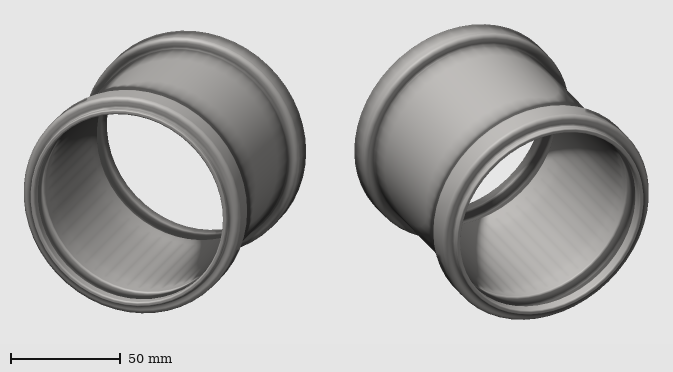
import cadquery as cq

length = 102.0
wall = 2.1
pipe_radius = 94.7 / 2
collar_radius = 104.5 / 2
collar_start = 3.3
collar_width = 12.7
collar_round = 2.1
root_round = 1.0
lip_outer_round = 0.6
lip_inner_round = 0.8

half_length = length / 2
collar_middle = half_length - collar_start - collar_width / 2
groove_width = collar_width - 2 * wall


def disc(radius, width, middle):
    """Solid cylinder around the Y axis, centred at Y = middle."""
    return cq.Workplane("XZ", origin=(0, middle + width / 2, 0)).circle(radius).extrude(width)


def edge_at(radius, position):
    """Select the circular edge of one radius at one Y position."""
    margin = 0.01
    near = radius - margin
    far = radius + margin
    low = position - margin
    high = position + margin
    within = cq.selectors.BoxSelector((-far, low, -far), (far, high, far), boundingbox=True)
    smaller = cq.selectors.BoxSelector((-near, low, -near), (near, high, near), boundingbox=True)
    return within - smaller


coupling = disc(pipe_radius, length, 0)
bore = disc(pipe_radius - wall, length, 0)
for side in (-1, 1):
    coupling = coupling.union(disc(collar_radius, collar_width, side * collar_middle))
    bore = bore.union(disc(collar_radius - wall, groove_width, side * collar_middle))
coupling = coupling.cut(bore)

for side in (-1, 1):
    outer_face = side * (collar_middle + collar_width / 2)
    inner_face = side * (collar_middle - collar_width / 2)
    groove_outer_face = outer_face - side * wall
    groove_inner_face = inner_face + side * wall
    pipe_end = side * half_length
    rounds = (
        (collar_radius, outer_face, collar_round),
        (collar_radius, inner_face, collar_round),
        (pipe_radius, outer_face, root_round),
        (pipe_radius, inner_face, root_round),
        (pipe_radius - wall, groove_outer_face, root_round),
        (pipe_radius - wall, groove_inner_face, root_round),
        (collar_radius - wall, groove_outer_face, root_round),
        (collar_radius - wall, groove_inner_face, root_round),
        (pipe_radius, pipe_end, lip_outer_round),
        (pipe_radius - wall, pipe_end, lip_inner_round),
    )
    for radius, position, size in rounds:
        coupling = coupling.edges(edge_at(radius, position)).fillet(size)

result = coupling